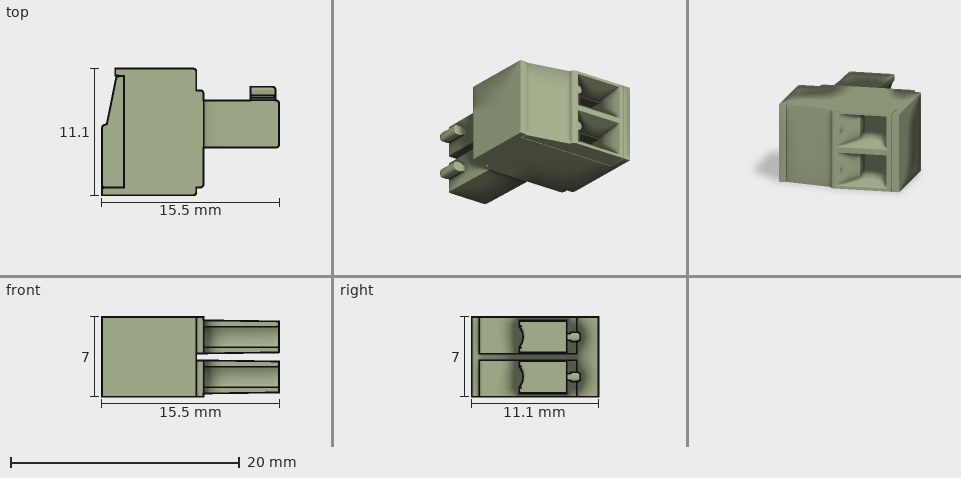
import cadquery as cq


total_length = 15.5
width = 11.1
pole_pitch = 3.5
pole_count = 2
height = pole_pitch * pole_count
edge_radius = 0.3
overlap = 0.15

housing_length = 8.26
collar_end = 8.88
collar_low = 0.68
collar_high = 9.19

rim_low = 0.68
rim_high = 10.43
high_rim_front = 1.16
slope_top_x = 1.27
slope_foot_x = 0.42
slope_foot_y = 6.23
nose_y = 6.12
insert_depth = 1.95
seam_width = 0.06
seam_depth = 0.15

funnel_low = 1.16
funnel_high = 5.7
funnel_half_height = 1.5
throat_low = 1.36
throat_high = 4.01
throat_half_height = 0.93
throat_depth = 2.64
contact_inset = 0.06
contact_depth = 3.88
stud_diameter = 0.8

plug_low = 4.17
plug_high = 8.31
plug_root_half_height = 1.45
plug_tip_half_height = 1.36
flute_diameter = 2.8
flute_half_chord = 0.9

key_start = 12.97
key_end = 15.19
key_high = 9.5
key_head_low = 8.77
key_neck_high = 8.54
key_head_half_height = 0.42
key_neck_half_height = 0.28

pole_centres = [pole_pitch * (index + 0.5) for index in range(pole_count)]


def box(x_range, y_range, z_range):
    """Axis-aligned box between the given limits."""
    (x0, x1), (y0, y1), (z0, z1) = x_range, y_range, z_range
    return cq.Workplane("XY").box(x1 - x0, y1 - y0, z1 - z0, centered=False).translate((x0, y0, z0))


def make_housing():
    """Housing with its insert outline at the front and the collar at the back."""
    outline = [
        (0, 0),
        (housing_length, 0),
        (housing_length, width),
        (high_rim_front, width),
        (high_rim_front, rim_high),
        (slope_top_x, rim_high),
        (slope_foot_x, slope_foot_y),
        (0, nose_y),
    ]
    block = cq.Workplane("XY").polyline(outline).close().extrude(height)
    nose_edge = cq.selectors.NearestToPointSelector((0, nose_y, height / 2))
    block = block.edges(nose_edge).fillet(edge_radius)
    block = block.edges("|Z and >X").fillet(edge_radius)
    collar = box((housing_length - overlap, collar_end), (collar_low, collar_high), (0, height))
    collar = collar.edges("|Z and >X").fillet(edge_radius)
    return block.union(collar)


def make_seam():
    """Shallow groove around the insert, open to the front, top and bottom faces."""
    groove = box(
        (-overlap, insert_depth), (rim_low - seam_width / 2, rim_high + seam_width / 2), (0, height)
    )
    insert = box(
        (-overlap, insert_depth - seam_width),
        (rim_low + seam_width / 2, rim_high - seam_width / 2),
        (0, height),
    )
    core_low = box(
        (seam_depth, insert_depth), (0, width / 2), (seam_depth, height - seam_depth)
    )
    core_high = box(
        (slope_top_x + seam_depth, insert_depth), (width / 2, width), (seam_depth, height - seam_depth)
    )
    return groove.cut(insert).cut(core_low).cut(core_high)


def make_pole_slots():
    """Gaps through the collar that separate neighbouring plugs."""
    half_gap = pole_pitch / 2 - plug_root_half_height
    slots = cq.Workplane("XY")
    for lower_centre in pole_centres[:-1]:
        middle = lower_centre + pole_pitch / 2
        slots = slots.add(
            box((housing_length, collar_end + overlap), (0, width), (middle - half_gap, middle + half_gap))
        )
    return slots.combine()


def make_funnel(centre):
    """Wire entry: a tapered funnel, a narrower contact hole and a half-round stud left standing."""
    plan = [
        (0, funnel_low),
        (insert_depth, throat_low),
        (throat_depth, throat_low),
        (throat_depth, throat_high),
        (insert_depth, throat_high),
        (0, funnel_high),
    ]
    side = [
        (0, centre - funnel_half_height),
        (throat_depth, centre - throat_half_height),
        (throat_depth, centre + throat_half_height),
        (0, centre + funnel_half_height),
    ]
    plan_solid = cq.Workplane("XY").polyline(plan).close().extrude(height)
    side_solid = cq.Workplane("XZ").polyline(side).close().extrude(-width)
    stud = (
        cq.Workplane("YZ").center(funnel_high, centre).circle(stud_diameter / 2).extrude(insert_depth)
    )
    contact_half_height = throat_half_height - contact_inset
    contact_hole = box(
        (throat_depth - overlap, contact_depth),
        (throat_low, throat_high),
        (centre - contact_half_height, centre + contact_half_height),
    )
    return plan_solid.intersect(side_solid).cut(stud).union(contact_hole)


def make_plug(centre):
    """Plug that tapers toward its tip, fluted along its -Y side and rounded at the tip."""
    side = [
        (collar_end, centre - plug_root_half_height),
        (total_length, centre - plug_tip_half_height),
        (total_length, centre + plug_tip_half_height),
        (collar_end, centre + plug_root_half_height),
    ]
    plug = cq.Workplane("XZ", origin=(0, plug_low, 0)).polyline(side).close().extrude(plug_low - plug_high)
    flute_radius = flute_diameter / 2
    axis_y = plug_low - (flute_radius**2 - flute_half_chord**2) ** 0.5
    flute = (
        cq.Workplane("YZ", origin=(collar_end, 0, 0))
        .center(axis_y, centre)
        .circle(flute_radius)
        .extrude(total_length - collar_end)
    )
    plug = plug.cut(flute)
    tip_edges = plug.faces(">X").edges("not #Z")
    return tip_edges.fillet(edge_radius)


def make_key(centre):
    """Coding key: a narrow neck that flares to a rounded head."""
    key_low = plug_high - overlap
    envelope = box(
        (key_start, key_end),
        (key_low, key_high),
        (centre - key_head_half_height, centre + key_head_half_height),
    )
    envelope = envelope.edges("(|X and >Y) or (>X and (not <Y))").fillet(edge_radius)
    section = [
        (key_low, centre - key_neck_half_height),
        (key_neck_high, centre - key_neck_half_height),
        (key_head_low, centre - key_head_half_height),
        (key_high, centre - key_head_half_height),
        (key_high, centre + key_head_half_height),
        (key_head_low, centre + key_head_half_height),
        (key_neck_high, centre + key_neck_half_height),
        (key_low, centre + key_neck_half_height),
    ]
    profile = cq.Workplane("YZ", origin=(key_start, 0, 0)).polyline(section).close()
    return profile.extrude(key_end - key_start).intersect(envelope)


result = make_housing().cut(make_seam()).cut(make_pole_slots())
for pole_centre in pole_centres:
    result = result.cut(make_funnel(pole_centre))
    result = result.union(make_plug(pole_centre)).union(make_key(pole_centre))